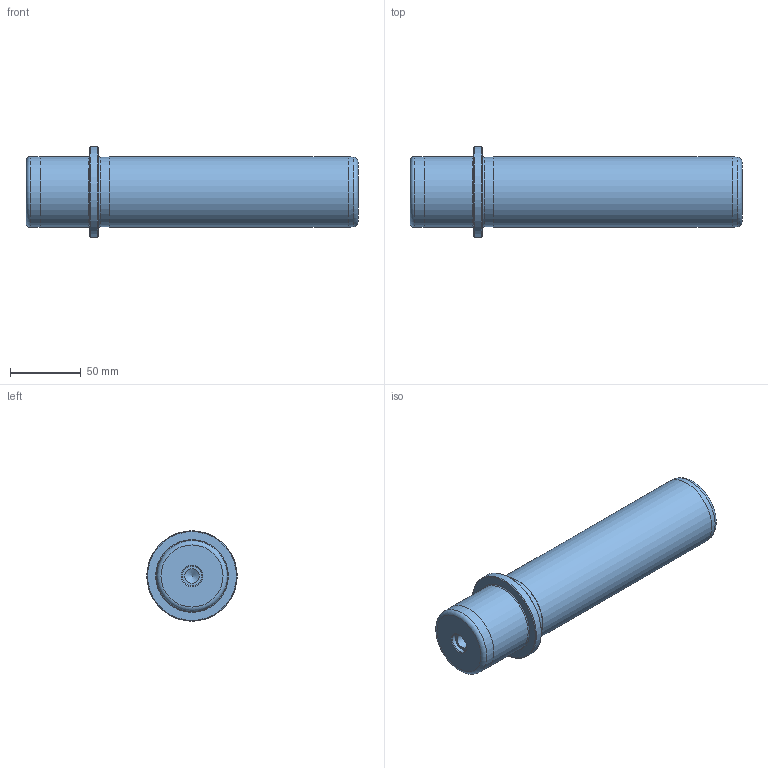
import cadquery as cq
import math


shank_length = 45.0
collar_width = 6.0
neck_end = 14.0
total_length = 235.0
guide_end = total_length - shank_length

pillar_diameter = 50.0
collar_diameter = 64.0
neck_diameter = 49.4

collar_chamfer = 0.5
collar_base_fillet = 0.7
neck_fillet = 1.5
shank_lead_length = 10.0
shank_lead_drop = 0.05
shank_end_fillet = 3.0
guide_lead_length = 7.0
guide_lead_drop = 0.75
guide_end_fillet = 3.5

hole_diameter = 10.2
hole_depth = 25.0
drill_point_angle = 118.0
recess_diameter = 14.0
recess_depth = 3.2
recess_chamfer = 0.6

pillar_axis_start = (0, 0, 0)
pillar_axis_end = (1, 0, 0)


def revolve_about_x(profile):
    """Turn a closed XY half-profile into a solid about the X axis."""
    return profile.close().revolve(360, pillar_axis_start, pillar_axis_end)


def turned_section(x_start, x_end, diameter):
    """Plain cylinder along X between two stations."""
    return cq.Workplane("YZ").workplane(offset=x_start).circle(diameter / 2).extrude(x_end - x_start)


def tapered_end(x_inner, x_end, lead_length, lead_drop, end_fillet):
    """Cylinder from x_inner to x_end with a slight lead taper and a rounded end edge."""
    direction = math.copysign(1, x_end - x_inner)
    radius = pillar_diameter / 2
    profile = (
        cq.Workplane("XY")
        .moveTo(x_inner, 0)
        .lineTo(x_inner, radius)
        .lineTo(x_end - direction * lead_length, radius)
        .lineTo(x_end, radius - lead_drop)
        .lineTo(x_end, 0)
    )
    end_face = "<X" if direction < 0 else ">X"
    return revolve_about_x(profile).faces(end_face).edges().fillet(end_fillet)


def collar():
    """Chamfered collar."""
    disc = turned_section(0, collar_width, collar_diameter)
    return disc.faces("<X or >X").edges().chamfer(collar_chamfer)


def base_fillet(x_face, direction, diameter, fillet):
    """Ring of concave fillet where a cylinder meets a collar face."""
    radius = diameter / 2
    arc_offset = fillet * (1 - math.sqrt(0.5))
    profile = (
        cq.Workplane("XY")
        .moveTo(x_face, 0)
        .lineTo(x_face, radius + fillet)
        .threePointArc(
            (x_face + direction * arc_offset, radius + arc_offset),
            (x_face + direction * fillet, radius),
        )
        .lineTo(x_face + direction * fillet, 0)
    )
    return revolve_about_x(profile)


def extraction_hole():
    """Cutting body: drilled hole with pointed bottom, flat recess and chamfered mouth."""
    x_mouth = -shank_length
    hole_radius = hole_diameter / 2
    recess_radius = recess_diameter / 2
    point_length = hole_radius / math.tan(math.radians(drill_point_angle / 2))
    profile = (
        cq.Workplane("XY")
        .moveTo(x_mouth, 0)
        .lineTo(x_mouth, recess_radius + recess_chamfer)
        .lineTo(x_mouth + recess_chamfer, recess_radius)
        .lineTo(x_mouth + recess_depth, recess_radius)
        .lineTo(x_mouth + recess_depth, hole_radius)
        .lineTo(x_mouth + hole_depth, hole_radius)
        .lineTo(x_mouth + hole_depth + point_length, 0)
    )
    return revolve_about_x(profile)


shank = tapered_end(0, -shank_length, shank_lead_length, shank_lead_drop, shank_end_fillet)
neck = turned_section(collar_width, neck_end, neck_diameter)
guide = tapered_end(neck_end, guide_end, guide_lead_length, guide_lead_drop, guide_end_fillet)

result = (
    shank.union(collar())
    .union(neck)
    .union(guide)
    .union(base_fillet(0, -1, pillar_diameter, collar_base_fillet))
    .union(base_fillet(collar_width, 1, neck_diameter, neck_fillet))
    .cut(extraction_hole())
)